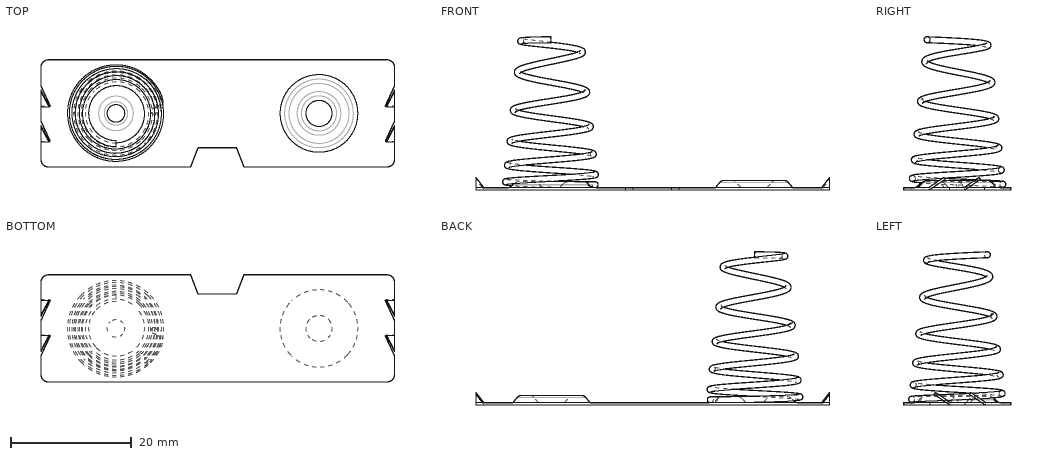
import cadquery as cq
import math

PLATE_LENGTH = 58.57
PLATE_WIDTH = 17.78
PLATE_THICKNESS = 0.4
PLATE_CORNER_RADIUS = 1.27
OVERALL_HEIGHT = 25.4

NOTCH_DEPTH = 3.18
NOTCH_MOUTH_HALF_WIDTH = 4.4
NOTCH_FLOOR_HALF_WIDTH = 3.18
NOTCH_CENTRE_X = -0.08

FLANK_ANGLE = math.radians(50)
CONTACT_X = 16.76
CONTACT_OUTER_RADIUS = 6.43
CONTACT_HEIGHT = 1.22
CONTACT_FLOOR_RADIUS = 2.16
CONTACT_EDGE_RADIUS = 0.93
SEAT_X = -16.85
SEAT_OUTER_RADIUS = 6.75
SEAT_HEIGHT = 1.0
SEAT_FLOOR_RADIUS = 1.46
SEAT_EDGE_RADIUS = 1.22

WIRE_RADIUS = 0.508
WIRE_EMBED = 0.02
COIL_BASE_RADIUS = 7.55
COIL_TOP_RADIUS = 5.0
CLOSED_TURNS_BOTTOM = 0.5
CLOSED_TURNS_TOP = 1.0
PITCH_RATIO = 3.2
COIL_START_ANGLE = math.radians(15)
COIL_END_TURN = 5.75
COIL_TURNS = COIL_END_TURN - COIL_START_ANGLE / (2 * math.pi)
POINTS_PER_TURN = 16
TAIL_BEND_RADIUS = 1.3
TAIL_BEND_ANGLE = math.radians(110)
TAIL_STEPS = 4

BARB_LENGTH = 3.2
BARB_BASE = 1.4
BARB_ANGLE = 34
BARB_FOLD_Y = (1.2, -4.65)
BARB_SLIT = 0.15


def make_plate():
    plate = (
        cq.Workplane("XY")
        .box(PLATE_LENGTH, PLATE_WIDTH, PLATE_THICKNESS, centered=(True, True, False))
        .edges("|Z")
        .fillet(PLATE_CORNER_RADIUS)
    )
    front_y = -PLATE_WIDTH / 2
    notch = (
        cq.Workplane("XY")
        .moveTo(NOTCH_CENTRE_X - NOTCH_MOUTH_HALF_WIDTH, front_y)
        .lineTo(NOTCH_CENTRE_X - NOTCH_FLOOR_HALF_WIDTH, front_y + NOTCH_DEPTH)
        .lineTo(NOTCH_CENTRE_X + NOTCH_FLOOR_HALF_WIDTH, front_y + NOTCH_DEPTH)
        .lineTo(NOTCH_CENTRE_X + NOTCH_MOUTH_HALF_WIDTH, front_y)
        .close()
        .extrude(PLATE_THICKNESS)
    )
    return plate.cut(notch)


def make_boss(height, outer_radius, floor_radius, edge_radius):
    """Ring boss with a conical outer flank, a conical dimple and rounded rims."""
    flank_run = height / math.tan(FLANK_ANGLE)
    crest_z = PLATE_THICKNESS + height
    profile = (
        cq.Workplane("XZ")
        .moveTo(floor_radius, 0)
        .lineTo(outer_radius, 0)
        .lineTo(outer_radius, PLATE_THICKNESS)
        .lineTo(outer_radius - flank_run, crest_z)
        .lineTo(floor_radius + flank_run, crest_z)
        .lineTo(floor_radius, PLATE_THICKNESS)
        .close()
    )
    ring = profile.revolve(360, (0, 0, 0), (0, 1, 0))
    return ring.faces(">Z").edges().fillet(edge_radius)


def ramp_rise(turn, start, end, pitch_start, pitch_end):
    """Height gained up to a turn inside a span whose pitch changes linearly."""
    span = end - start
    inside = min(max(turn - start, 0), span)
    return pitch_start * inside + (pitch_end - pitch_start) * inside ** 2 / (2 * span)


def relative_rise(turn):
    """Height gained up to a turn, in units of the pitch at the lowest open coil."""
    open_end = COIL_TURNS - CLOSED_TURNS_TOP
    return (
        ramp_rise(turn, 0, CLOSED_TURNS_BOTTOM, 0, 1)
        + ramp_rise(turn, CLOSED_TURNS_BOTTOM, open_end, 1, PITCH_RATIO)
        + ramp_rise(turn, open_end, COIL_TURNS, PITCH_RATIO, 0)
    )


def polar_point(radius, angle, z):
    return cq.Vector(radius * math.cos(angle), radius * math.sin(angle), z)


def tail_points(z):
    """Level bend that turns the lower wire end inward until it runs into the seat."""
    centre = polar_point(COIL_BASE_RADIUS - TAIL_BEND_RADIUS, COIL_START_ANGLE, z)
    points = []
    for i in range(TAIL_STEPS):
        angle = COIL_START_ANGLE - TAIL_BEND_ANGLE * (1 - i / TAIL_STEPS)
        points.append(centre + polar_point(TAIL_BEND_RADIUS, angle, 0))
    return points


def make_spring():
    base_z = PLATE_THICKNESS + WIRE_RADIUS - WIRE_EMBED
    top_z = OVERALL_HEIGHT - WIRE_RADIUS
    lowest_pitch = (top_z - base_z) / relative_rise(COIL_TURNS)
    taper = (COIL_TOP_RADIUS - COIL_BASE_RADIUS) / (top_z - base_z)
    points = tail_points(base_z)
    count = round(COIL_TURNS * POINTS_PER_TURN)
    for i in range(count + 1):
        turn = COIL_TURNS * i / count
        rise = lowest_pitch * relative_rise(turn)
        radius = COIL_BASE_RADIUS + taper * rise
        angle = COIL_START_ANGLE + 2 * math.pi * turn
        points.append(polar_point(radius, angle, base_z + rise))
    path = cq.Edge.makeSpline(points)
    section = cq.Workplane(cq.Plane(path.startPoint(), normal=path.tangentAt(0))).circle(WIRE_RADIUS)
    wire = section.sweep(cq.Workplane("XY").add(cq.Wire.assembleEdges([path])))
    return wire.translate((SEAT_X, 0, 0))


def barb_triangle(base, length):
    """Right triangle on the plate end, standing on the fold line y = 0 at x = 0."""
    return (
        cq.Workplane("XY")
        .polyline([(0, 0), (base, 0), (0, length)])
        .close()
        .extrude(PLATE_THICKNESS)
    )


def add_barbs(body):
    opening = barb_triangle(BARB_BASE + BARB_SLIT, BARB_LENGTH + BARB_SLIT)
    barb = barb_triangle(BARB_BASE, BARB_LENGTH).rotate((0, 0, 0), (1, 0, 0), BARB_ANGLE)
    for fold_y in BARB_FOLD_Y:
        for mirrored in (False, True):
            place = (-PLATE_LENGTH / 2, fold_y, 0)
            hole = opening.translate(place)
            tab = barb.translate(place)
            if mirrored:
                hole = hole.mirror("YZ")
                tab = tab.mirror("YZ")
            body = body.cut(hole).union(tab)
    return body


def add_contact(body):
    boss = make_boss(CONTACT_HEIGHT, CONTACT_OUTER_RADIUS, CONTACT_FLOOR_RADIUS, CONTACT_EDGE_RADIUS)
    return body.union(boss.translate((CONTACT_X, 0, 0)))


def add_spring_seat(body):
    """Lower boss inside the spring, its foot blended into the plate."""
    boss = make_boss(SEAT_HEIGHT, SEAT_OUTER_RADIUS, SEAT_FLOOR_RADIUS, SEAT_EDGE_RADIUS)
    body = body.union(boss.translate((SEAT_X, 0, 0)))
    foot = cq.selectors.RadiusNthSelector(-1)
    return body.edges("%CIRCLE").edges(foot).fillet(SEAT_EDGE_RADIUS)


result = add_spring_seat(make_plate())
result = add_contact(result)
result = add_barbs(result)
result = result.union(make_spring())